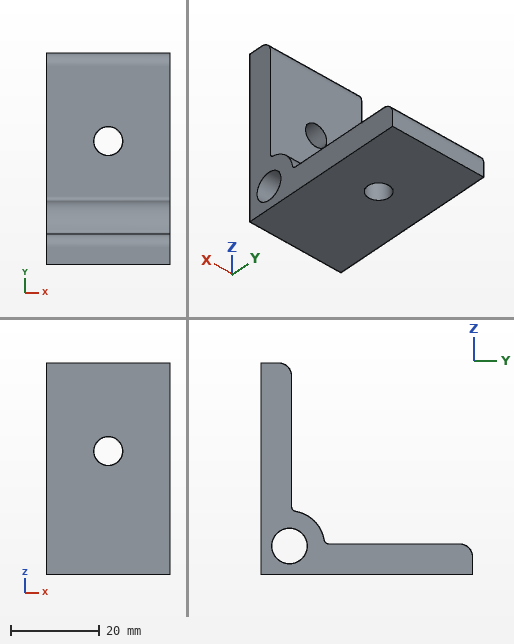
import cadquery as cq
import math

width = 28.0
leg_length = 48.0
leg_thickness = 7.0
tip_radius = 3.0
pivot_offset = 6.5
pivot_diameter = 8.0
knuckle_radius = 8.0
blend_radius = 1.0
screw_diameter = 6.5
screw_offset = 28.0

blend_height = leg_thickness + blend_radius
centre_distance = knuckle_radius + blend_radius
blend_rise = blend_height - pivot_offset
blend_reach = pivot_offset + math.sqrt(centre_distance**2 - blend_rise**2)
blend_angle = math.asin(blend_rise / centre_distance)


def polar(centre, radius, angle):
    """Point at the given radius and angle (radians) from a centre."""
    return (centre[0] + radius * math.cos(angle), centre[1] + radius * math.sin(angle))


def mirrored(point):
    """Reflect a (Y, Z) point across the diagonal that swaps the two legs."""
    return (point[1], point[0])


def make_bracket():
    """L-shaped profile in the YZ plane, extruded across the width."""
    pivot = (pivot_offset, pivot_offset)
    blend_centre = (blend_reach, blend_height)
    tip_centre = (leg_length - tip_radius, leg_thickness - tip_radius)

    tip_start = (leg_length, tip_centre[1])
    tip_middle = polar(tip_centre, tip_radius, math.radians(45))
    tip_end = (tip_centre[0], leg_thickness)
    blend_start = (blend_reach, leg_thickness)
    blend_middle = polar(blend_centre, blend_radius, (math.radians(270) + math.pi + blend_angle) / 2)
    blend_end = polar(pivot, knuckle_radius, blend_angle)
    knuckle_middle = polar(pivot, knuckle_radius, math.radians(45))

    profile = (
        cq.Workplane("YZ")
        .moveTo(0, 0)
        .lineTo(leg_length, 0)
        .lineTo(*tip_start)
        .threePointArc(tip_middle, tip_end)
        .lineTo(*blend_start)
        .threePointArc(blend_middle, blend_end)
        .threePointArc(knuckle_middle, mirrored(blend_end))
        .threePointArc(mirrored(blend_middle), mirrored(blend_start))
        .lineTo(*mirrored(tip_end))
        .threePointArc(mirrored(tip_middle), mirrored(tip_start))
        .lineTo(0, leg_length)
        .close()
    )
    return profile.extrude(width)


def make_pivot_bore():
    """Bore along X through the knuckle."""
    return cq.Workplane("YZ").center(pivot_offset, pivot_offset).circle(pivot_diameter / 2).extrude(width)


def make_screw_holes():
    """One through hole in each leg, centred across the width."""
    radius = screw_diameter / 2
    floor_hole = cq.Workplane("XY").center(width / 2, screw_offset).circle(radius).extrude(leg_thickness)
    wall_hole = cq.Workplane("XZ").center(width / 2, screw_offset).circle(radius).extrude(-leg_thickness)
    return floor_hole.union(wall_hole)


result = make_bracket().cut(make_pivot_bore()).cut(make_screw_holes())